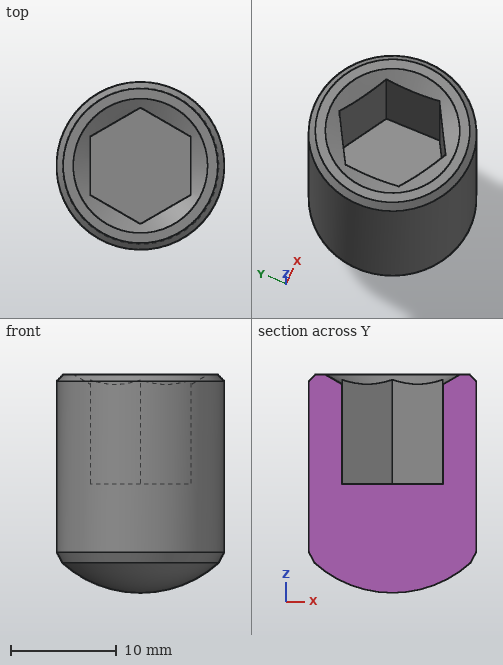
import cadquery as cq
import math

body_diameter = 15.88
total_height = 20.65
top_chamfer = 0.65
hex_across_flats = 9.52
hex_depth = 10.32
countersink_diameter = 12.7
countersink_half_angle = 60.0
bevel_start_height = 3.88
dome_height = 2.85
dome_edge_radius = 7.4

body_radius = body_diameter / 2
countersink_radius = countersink_diameter / 2
countersink_depth = countersink_radius / math.tan(math.radians(countersink_half_angle))
hex_across_corners = hex_across_flats / math.cos(math.radians(30))
dome_radius = (dome_edge_radius**2 + dome_height**2) / (2 * dome_height)


def make_body():
    """Revolve the screw profile: domed tip, bevel, cylinder and top chamfer."""
    half_angle = math.asin(dome_edge_radius / dome_radius) / 2
    dome_middle = (
        dome_radius * math.sin(half_angle),
        dome_radius * (1 - math.cos(half_angle)),
    )
    profile = (
        cq.Workplane("XZ")
        .moveTo(0, 0)
        .threePointArc(dome_middle, (dome_edge_radius, dome_height))
        .lineTo(body_radius, bevel_start_height)
        .lineTo(body_radius, total_height - top_chamfer)
        .lineTo(body_radius - top_chamfer, total_height)
        .lineTo(0, total_height)
        .close()
    )
    return profile.revolve(360, (0, 0), (0, 1))


def make_hex_socket():
    """Hexagonal prism with two corners on the Y axis."""
    return (
        cq.Workplane("XY", origin=(0, 0, total_height - hex_depth))
        .transformed(rotate=(0, 0, 90))
        .polygon(6, hex_across_corners)
        .extrude(hex_depth)
    )


def make_countersink():
    """Cone that opens the mouth of the socket; its point lies on the axis."""
    return (
        cq.Workplane("XZ")
        .moveTo(0, total_height)
        .lineTo(countersink_radius, total_height)
        .lineTo(0, total_height - countersink_depth)
        .close()
        .revolve(360, (0, 0), (0, 1))
    )


result = make_body().cut(make_hex_socket()).cut(make_countersink())